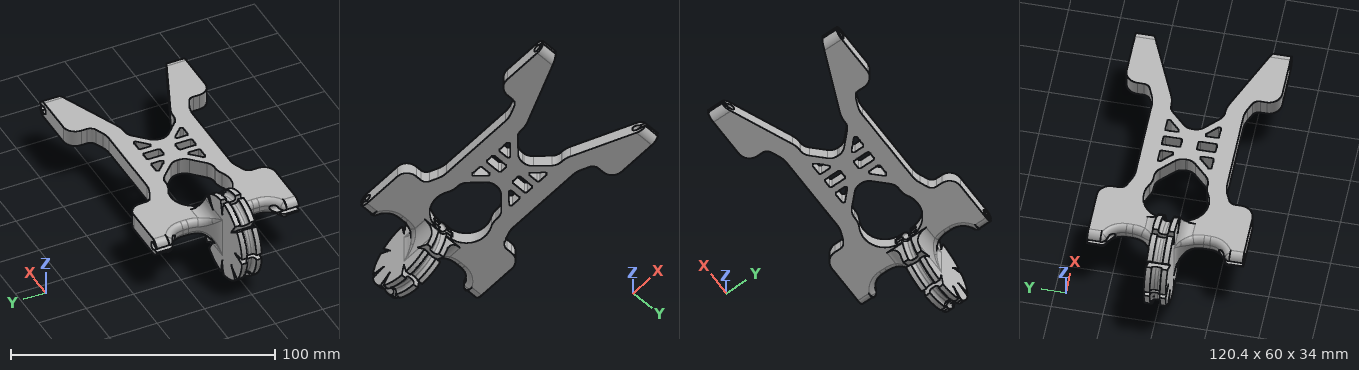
import cadquery as cq
import math

overall_length = 120.4
wheel_height = 34.0

wheel_width = 8.4
groove_width = 3.9
groove_depth = 1.9
groove_corner_radius = 1.3
rim_slot_count = 8
rim_slot_mouth = 2.3
rim_slot_depth = 6.0
rim_slot_overrun = 0.6

thickness = 7.0
plate_length = 100.2
plate_half_width = 30.0
foot_length = 25.0
foot_corner_radius = 5.0
foot_root_y = 20.5
foot_root_radius = 3.0
ramp_length = 6.9
waist_half_width = 17.6
waist_radius = 10.0

axle_radius = 1.6
axle_mouth = 1.8
front_tip_start_y = 24.8
front_seat_start_y = 18.7
rear_tip_start_y = 18.0

recess_x = 9.5
recess_straight = 2.4
recess_foot_radius = 7.0
foot_nose_radius = 2.0
recess_edge_radius = 2.5

flare_radius = 4.9

bar_inner_y = 10.4
bridge_half_width = 7.3
bridge_nose_y = 2.4
bridge_radius = 5.0
tine_straight = 4.5
tine_tip_y = 23.4

opening_front_x = 17.1
opening_half_width = 12.5
opening_radius = 9.8
opening_neck_radius = 7.2

pocket_width = 4.0
pocket_length = 7.2
pocket_corner_radius = 0.7
pocket_rib = 2.9
side_rib = 3.0

half_thickness = thickness / 2
tip_radius = half_thickness
wheel_face_y = wheel_width / 2
wheel_lip_x = wheel_height / 2
wheel_radius = math.hypot(wheel_lip_x, rim_slot_mouth / 2)
tip_lip_setback = tip_radius - math.sqrt(tip_radius**2 - (axle_mouth / 2)**2)
rear_x = overall_length - wheel_lip_x + tip_lip_setback
front_x = rear_x - plate_length
plate_center_x = (front_x + rear_x) / 2
recess_wheel_y = wheel_face_y + recess_x
recess_foot_y = recess_wheel_y + recess_straight
bridge_top_half_width = bridge_half_width + bar_inner_y - bridge_nose_y
through = 2 * thickness


def arc_point(center_x, center_y, radius, angle):
    """Point on a circle at an angle in radians."""
    return (center_x + radius * math.cos(angle), center_y + radius * math.sin(angle))


def round_corners(body, corners):
    """Fillet the vertical edge of body at each (x, y, radius)."""
    reach = 0.1
    for x, y, radius in corners:
        box = cq.selectors.BoxSelector((x - reach, y - reach, -through), (x + reach, y + reach, through))
        body = body.edges("|Z").edges(box).fillet(radius)
    return body


def half_plate():
    """Plate on the +Y side, without openings."""
    foot_arc_x = recess_x - recess_foot_radius
    foot_arc_angle = math.acos((front_x - foot_arc_x) / recess_foot_radius)
    foot_nose = arc_point(foot_arc_x, recess_foot_y, recess_foot_radius, foot_arc_angle)
    foot_arc_mid = arc_point(foot_arc_x, recess_foot_y, recess_foot_radius, foot_arc_angle / 2)
    wheel_arc_mid = arc_point(0, recess_wheel_y, recess_x, -math.pi / 4)

    front_foot_x = front_x + foot_length
    rear_foot_x = rear_x - foot_length
    front_waist_x = front_foot_x + ramp_length
    rear_waist_x = rear_foot_x - ramp_length
    nose_x = plate_center_x + bridge_half_width
    bridge_top_x = plate_center_x + bridge_top_half_width
    tine_root_x = bridge_top_x + tine_straight

    body = (
        cq.Workplane("XY")
        .lineTo(0, wheel_face_y)
        .threePointArc(wheel_arc_mid, (recess_x, recess_wheel_y))
        .lineTo(recess_x, recess_foot_y)
        .threePointArc(foot_arc_mid, foot_nose)
        .lineTo(front_x, plate_half_width)
        .lineTo(front_foot_x, plate_half_width)
        .lineTo(front_foot_x, foot_root_y)
        .lineTo(front_waist_x, waist_half_width)
        .lineTo(rear_waist_x, waist_half_width)
        .lineTo(rear_foot_x, foot_root_y)
        .lineTo(rear_foot_x, plate_half_width)
        .lineTo(rear_x, plate_half_width)
        .lineTo(rear_x, tine_tip_y)
        .lineTo(tine_root_x, bar_inner_y)
        .lineTo(bridge_top_x, bar_inner_y)
        .lineTo(nose_x, bridge_nose_y)
        .lineTo(nose_x, 0)
        .close()
        .extrude(half_thickness, both=True)
    )
    return round_corners(body, [
        (*foot_nose, foot_nose_radius),
        (front_foot_x, plate_half_width, foot_corner_radius),
        (front_foot_x, foot_root_y, foot_root_radius),
        (front_waist_x, waist_half_width, waist_radius),
        (rear_waist_x, waist_half_width, waist_radius),
        (rear_foot_x, foot_root_y, foot_root_radius),
        (rear_foot_x, plate_half_width, foot_corner_radius),
        (tine_root_x, bar_inner_y, waist_radius),
        (bridge_top_x, bar_inner_y, bridge_radius),
        (nose_x, bridge_nose_y, bridge_radius),
    ])


def flare():
    """Concave thickening of the plate toward the wheel face, within the wheel's outline."""
    end_y = wheel_face_y + flare_radius
    wall_z = half_thickness + flare_radius
    mid_y, mid_z = arc_point(end_y, wall_z, flare_radius, -3 * math.pi / 4)
    block = (
        cq.Workplane("YZ")
        .moveTo(0, -wall_z)
        .lineTo(wheel_face_y, -wall_z)
        .threePointArc((mid_y, -mid_z), (end_y, -half_thickness))
        .lineTo(end_y, half_thickness)
        .threePointArc((mid_y, mid_z), (wheel_face_y, wall_z))
        .lineTo(0, wall_z)
        .close()
        .extrude(wheel_radius)
    )
    disc = cq.Workplane("XZ").circle(wheel_radius).extrude(-end_y)
    recess = (
        cq.Workplane("XY")
        .center(0, recess_wheel_y)
        .circle(recess_x)
        .extrude(through, both=True)
    )
    return block.intersect(disc).cut(recess)


def round_recess_edges(body):
    """Round the recess edges; the fillets follow the tangent edges from wheel face to foot tip."""
    straight = cq.selectors.BoxSelector(
        (0, recess_wheel_y, -through), (recess_x + recess_edge_radius, recess_foot_y, through))
    return body.edges("|Y").edges(straight).fillet(recess_edge_radius)


def opening():
    """The +Y half of the large opening; it reaches the rim between the wheel faces."""
    arc_x = opening_front_x + opening_radius
    arc_y = opening_half_width - opening_radius
    start_x = arc_x - math.sqrt(opening_radius**2 - (wheel_face_y - arc_y)**2)
    neck_x = arc_x + math.sqrt(opening_radius**2 - (bar_inner_y - arc_y)**2)
    bridge_top_x = plate_center_x - bridge_top_half_width
    nose_x = plate_center_x - bridge_half_width
    body = (
        cq.Workplane("XY")
        .moveTo(wheel_lip_x, 0)
        .lineTo(wheel_lip_x, wheel_face_y)
        .lineTo(start_x, wheel_face_y)
        .threePointArc((arc_x, opening_half_width), (neck_x, bar_inner_y))
        .lineTo(bridge_top_x, bar_inner_y)
        .lineTo(nose_x, bridge_nose_y)
        .lineTo(nose_x, 0)
        .close()
        .extrude(through, both=True)
    )
    return round_corners(body, [
        (neck_x, bar_inner_y, opening_neck_radius),
        (bridge_top_x, bar_inner_y, bridge_radius),
        (nose_x, bridge_nose_y, bridge_radius),
    ])


def pockets():
    """One rectangular and two triangular pockets on the +Y side of the bridge."""
    near = pocket_width / 2 + pocket_rib
    far = bridge_top_half_width - side_rib * math.sqrt(2)
    tools = (
        cq.Workplane("XY")
        .center(plate_center_x, bar_inner_y - pocket_length / 2)
        .rect(pocket_width, pocket_length)
        .extrude(through, both=True)
    )
    for direction in (-1, 1):
        near_x = plate_center_x + direction * near
        far_x = plate_center_x + direction * far
        triangle = (
            cq.Workplane("XY")
            .polyline([(near_x, bar_inner_y), (far_x, bar_inner_y), (near_x, bar_inner_y - (far - near))])
            .close()
            .extrude(through, both=True)
        )
        tools = tools.union(triangle)
    return tools.edges("|Z").fillet(pocket_corner_radius)


def tip_rounding(tip_x, direction, start_y):
    """Material to remove so that the tip facing the given X direction becomes half round."""
    length = plate_half_width - start_y
    plane = cq.Workplane("XZ", origin=(tip_x - direction * tip_radius, start_y, 0))
    block = plane.center(direction * tip_radius, 0).rect(2 * tip_radius, 2 * thickness).extrude(-length)
    return block.cut(plane.circle(tip_radius).extrude(-length))


def axle_seat(tip_x, direction, start_y):
    """Bore along Y with an open mouth at the tip facing the given X direction."""
    length = plate_half_width - start_y
    plane = cq.Workplane("XZ", origin=(tip_x - direction * tip_radius, start_y, 0))
    bore = plane.circle(axle_radius).extrude(-length)
    mouth = plane.center(direction * tip_radius, 0).rect(2 * tip_radius, axle_mouth).extrude(-length)
    return bore.union(mouth)


def half_frame():
    """Everything on the +Y side except the wheel."""
    body = round_recess_edges(half_plate().union(flare()))
    body = body.cut(opening()).cut(pockets())
    body = body.cut(tip_rounding(front_x, -1, front_tip_start_y))
    body = body.cut(axle_seat(front_x, -1, front_seat_start_y))
    body = body.cut(tip_rounding(rear_x, 1, rear_tip_start_y))
    return body.cut(axle_seat(rear_x, 1, rear_tip_start_y))


def rim_groove():
    """Ring-shaped groove around the rim with rounded bottom corners."""
    bottom_radius = wheel_radius - groove_depth
    outer_radius = wheel_radius + groove_depth
    half_width = groove_width / 2
    ring = (
        cq.Workplane("XY")
        .moveTo(bottom_radius, -half_width)
        .lineTo(outer_radius, -half_width)
        .lineTo(outer_radius, half_width)
        .lineTo(bottom_radius, half_width)
        .close()
        .revolve(360, (0, 0, 0), (0, 1, 0))
    )
    inner_edges = cq.selectors.RadiusNthSelector(0)
    return ring.edges("%CIRCLE").edges(inner_edges).fillet(groove_corner_radius)


def rim_slot(angle):
    """V-shaped slot through the wheel, pointing at the axis."""
    apex = wheel_lip_x - rim_slot_depth
    wedge = (
        cq.Workplane("XZ")
        .polyline([(apex, 0), (apex + 2 * rim_slot_depth, rim_slot_mouth),
                   (apex + 2 * rim_slot_depth, -rim_slot_mouth)])
        .close()
        .extrude(wheel_face_y + rim_slot_overrun, both=True)
    )
    return wedge.rotate((0, 0, 0), (0, 1, 0), angle)


frame = half_frame()
wheel = cq.Workplane("XZ").circle(wheel_radius).extrude(wheel_face_y, both=True)
result = wheel.union(frame).union(frame.mirror("XZ"))
result = result.cut(rim_groove())
for index in range(rim_slot_count):
    result = result.cut(rim_slot(index * 360 / rim_slot_count))